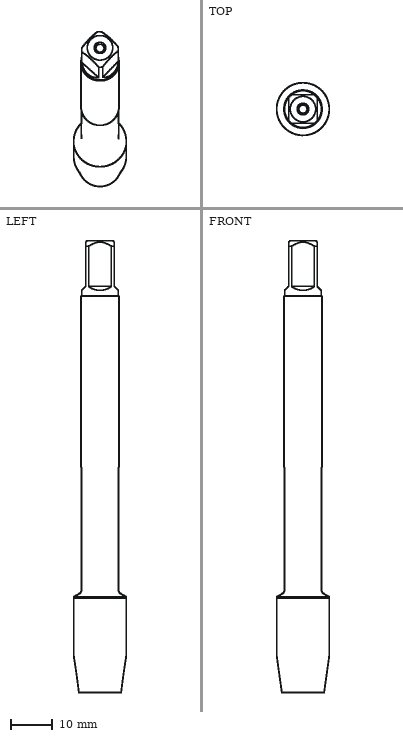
import cadquery as cq
import math

total_length = 110.0
thread_length = 23.0
lead_length = 9.0
cone_base_z = 23.3
shank_start_z = 54.6
shank_end_z = 96.6
square_length = 11.15

thread_diameter = 12.86
neck_diameter = 9.02
shank_diameter = 9.32
drive_diameter = 8.95
drive_tip_diameter = 6.2
coolant_diameter = 2.0
mouth_diameter = 2.8

square_width = 7.0
lead_angle = 8.0
shoulder_angle = 30.0
neck_fillet = 1.1
lower_bevel_height = 0.5
upper_bevel_height = 0.2
flat_runout_angle = 45.0

thread_radius = thread_diameter / 2
neck_radius = neck_diameter / 2
shank_radius = shank_diameter / 2
drive_radius = drive_diameter / 2
drive_tip_radius = drive_tip_diameter / 2
coolant_radius = coolant_diameter / 2
mouth_radius = mouth_diameter / 2


def coolant_hole():
    """Hole along the whole axis, shared by both bodies."""
    return cq.Workplane("XY").circle(coolant_radius).extrude(total_length)


def mouth_chamfer():
    """45 degree cone opening the coolant hole in the drive end."""
    mouth_z = total_length - (mouth_radius - coolant_radius)
    return (
        cq.Workplane("XZ")
        .moveTo(0, mouth_z)
        .lineTo(coolant_radius, mouth_z)
        .lineTo(mouth_radius, total_length)
        .lineTo(0, total_length)
        .close()
        .revolve(360, (0, 0, 0), (0, 1, 0))
    )


def make_cutting_head():
    """Plain cylinder at thread size with a tapered lead."""
    tip_radius = thread_radius - lead_length * math.tan(math.radians(lead_angle))
    body = (
        cq.Workplane("XZ")
        .lineTo(tip_radius, 0)
        .lineTo(thread_radius, lead_length)
        .lineTo(thread_radius, thread_length)
        .lineTo(0, thread_length)
        .close()
        .revolve(360, (0, 0, 0), (0, 1, 0))
    )
    return body.cut(coolant_hole())


def turned_shank():
    """Shoulder, filleted neck, shank and drive end as one turned profile."""
    slope = math.radians(shoulder_angle)
    fillet_center_r = neck_radius + neck_fillet
    fillet_end_r = fillet_center_r - neck_fillet * math.sin(slope)
    fillet_end_z = cone_base_z + (thread_radius - fillet_end_r) * math.tan(slope)
    neck_start_z = fillet_end_z + neck_fillet * math.cos(slope)
    middle_angle = (math.pi / 2 - slope) / 2
    fillet_middle_r = fillet_center_r - neck_fillet * math.cos(middle_angle)
    fillet_middle_z = neck_start_z - neck_fillet * math.sin(middle_angle)
    tip_bevel = drive_radius - drive_tip_radius
    return (
        cq.Workplane("XZ")
        .moveTo(0, thread_length)
        .lineTo(thread_radius, thread_length)
        .lineTo(thread_radius, cone_base_z)
        .lineTo(fillet_end_r, fillet_end_z)
        .threePointArc((fillet_middle_r, fillet_middle_z), (neck_radius, neck_start_z))
        .lineTo(neck_radius, shank_start_z)
        .lineTo(shank_radius, shank_start_z + lower_bevel_height)
        .lineTo(shank_radius, shank_end_z - upper_bevel_height)
        .lineTo(drive_radius, shank_end_z)
        .lineTo(drive_radius, total_length - tip_bevel)
        .lineTo(drive_tip_radius, total_length)
        .lineTo(0, total_length)
        .close()
        .revolve(360, (0, 0, 0), (0, 1, 0))
    )


def square_flat_cut(angle):
    """Material outside one flat; its lower end runs out on a slope."""
    flat = square_width / 2
    outer = shank_diameter
    flat_end_z = total_length - square_length
    runout_drop = (outer - flat) * math.tan(math.radians(flat_runout_angle))
    return (
        cq.Workplane("XZ")
        .moveTo(flat, total_length)
        .lineTo(flat, flat_end_z)
        .lineTo(outer, flat_end_z - runout_drop)
        .lineTo(outer, total_length)
        .close()
        .extrude(shank_diameter, both=True)
        .rotate((0, 0, 0), (0, 0, 1), angle)
    )


def make_shank():
    body = turned_shank()
    for side in range(4):
        body = body.cut(square_flat_cut(side * 90))
    return body.cut(coolant_hole()).cut(mouth_chamfer())


cutting_head = make_cutting_head()
shank = make_shank()

result = cq.Compound.makeCompound([cutting_head.val(), shank.val()])